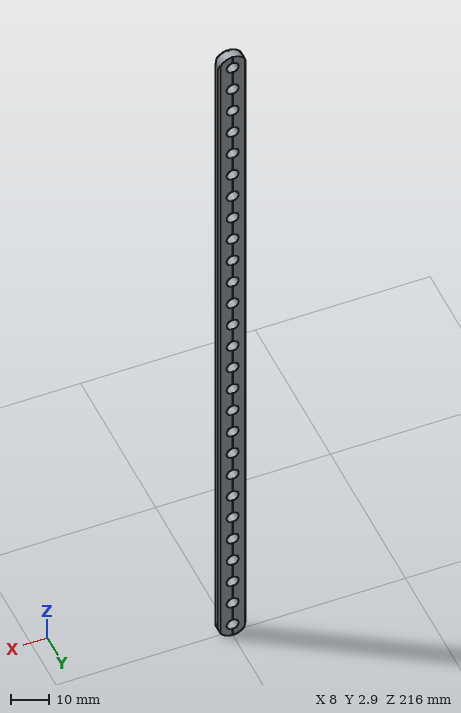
import cadquery as cq

bar_length = 216.0
bar_width = 8.0
bar_thickness = 2.9
hole_count = 27
hole_diameter = 3.4
edge_chamfer = 0.6
groove_width = 0.2
groove_depth = 0.2

hole_pitch = bar_length / hole_count


def bar_stock():
    """Straight bar along Z with its four long edges chamfered."""
    return cq.Workplane("XY").box(bar_width, bar_thickness, bar_length).edges("|Z").chamfer(edge_chamfer)


def end_rounding():
    """Full-round outline in the XZ plane that rounds both ends of the stock."""
    return cq.Workplane("XZ").slot2D(bar_length, bar_width, 90).extrude(bar_thickness, both=True)


def centre_grooves():
    """Narrow strips along the centre line of the front and back faces, one groove deep."""
    return (
        cq.Workplane("XY")
        .rarray(bar_width, bar_thickness, 1, 2)
        .rect(groove_width, 2 * groove_depth)
        .extrude(bar_length, both=True)
    )


def hole_row():
    """Row of round pins along the centre line that cut the through holes."""
    return (
        cq.Workplane("XZ")
        .rarray(bar_width, hole_pitch, 1, hole_count)
        .circle(hole_diameter / 2)
        .extrude(bar_thickness, both=True)
    )


bar = bar_stock().intersect(end_rounding())
result = bar.cut(centre_grooves()).cut(hole_row())